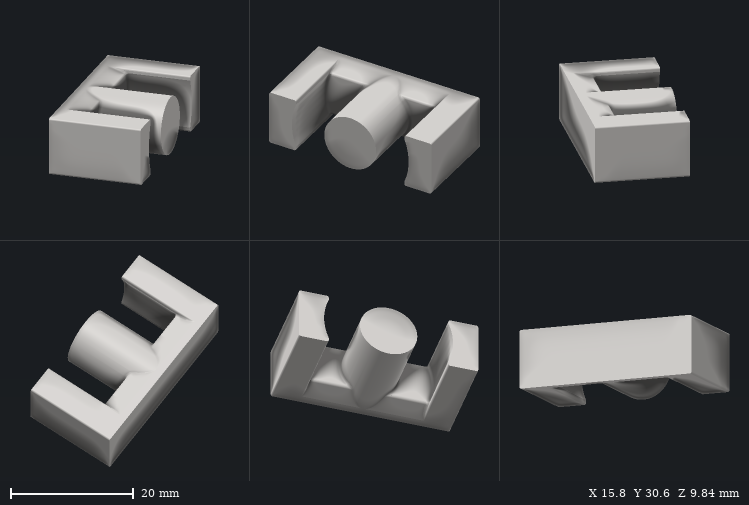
import cadquery as cq
import math

depth = 15.8
width = 30.6
height = 9.8
half_depth = depth / 2
half_height = height / 2
back_x = -half_depth

lip_half_width = 10.22
bore_radius = 11.02
post_radius = half_height

back_thickness = 4.77
taper_start = 1.38
taper_slope = math.tan(math.radians(15.5))
wall_x = back_x + back_thickness
wall_half_height = half_height - (back_thickness - taper_start) * taper_slope

inner_round = 0.5
edge_round = 0.35

overrun = 2.45
clearance_end_x = half_depth + overrun
cutter_length = 2 * clearance_end_x


def wall_clearance():
    """Space in front of the tapered back wall, across the full width."""
    top_x = back_x + taper_start - overrun
    top_z = half_height + overrun * taper_slope
    return (
        cq.Workplane("XZ")
        .moveTo(top_x, top_z)
        .lineTo(wall_x, wall_half_height)
        .lineTo(wall_x, -wall_half_height)
        .lineTo(top_x, -top_z)
        .lineTo(clearance_end_x, -top_z)
        .lineTo(clearance_end_x, top_z)
        .close()
        .extrude(width / 2, both=True)
    )


def rounded_at_wall(clearance):
    """Round every edge of a clearance whose centre lies on the tapered wall."""
    wall_region = cq.selectors.BoxSelector(
        (back_x, -width, -half_height),
        (wall_x + edge_round, width, half_height),
    )
    return clearance.edges(wall_region).fillet(inner_round)


def x_cylinder(radius):
    """Round bar along X, longer than the block."""
    return cq.Workplane("YZ").circle(radius).extrude(cutter_length / 2, both=True)


def lip_opening():
    """Flat-sided opening that flares over the rounded lip edges to the block top and bottom."""
    opening = cq.Workplane("XY").box(cutter_length, 2 * lip_half_width, height)
    for side in (-1, 1):
        cover_centre = side * (half_height + overrun / 2)
        cover = cq.Workplane("XY").box(cutter_length, width, overrun)
        opening = opening.union(cover.translate((0, 0, cover_centre)))
    lip_edges = cq.selectors.BoxSelector(
        (-overrun, -lip_half_width - edge_round, -half_height - edge_round),
        (overrun, lip_half_width + edge_round, half_height + edge_round),
    )
    return opening.edges("|X").edges(lip_edges).fillet(edge_round)


def lip_clearance():
    """Flat-sided space between the lips of the two legs."""
    return rounded_at_wall(wall_clearance().intersect(lip_opening()))


def bore_clearance():
    """Round space that hollows the inner faces of the legs."""
    return rounded_at_wall(wall_clearance().intersect(x_cylinder(bore_radius)))


def post_clearance():
    """Space around the post, wider than the window."""
    return rounded_at_wall(wall_clearance().cut(x_cylinder(post_radius)))


block = cq.Workplane("XY").box(depth, width, height).edges("|X").fillet(edge_round)
window = lip_clearance().union(bore_clearance()).intersect(post_clearance())
result = block.cut(window)